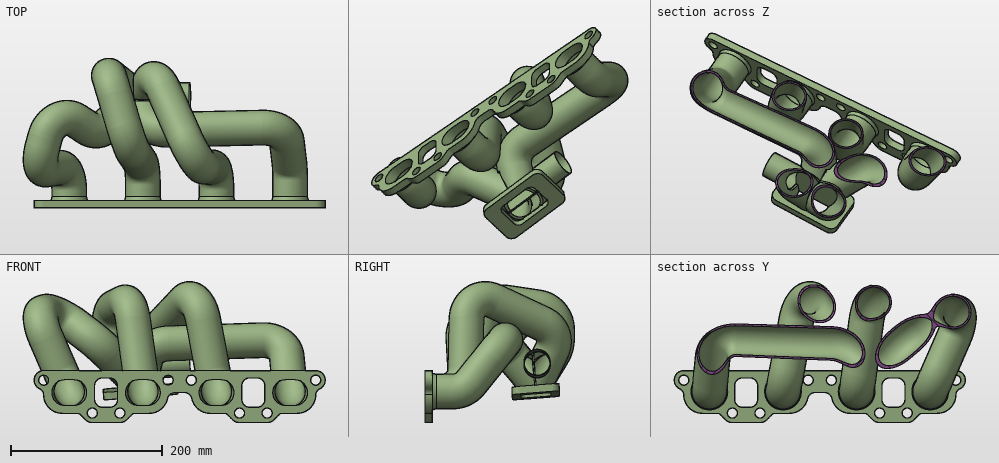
import cadquery as cq
import math


plate_thickness = 10.0
plate_half_length = 192.1
plate_top = 29.1
port_pitch = 97.1
port_width = 46.0
port_height = 34.0
slot_width = 30.0
slot_height = 38.4
slot_corner = 10.0
bolt_diameter = 13.0
lug_radius = 12.7
end_bolt_z = plate_top - lug_radius
end_bolt_x = plate_half_length - lug_radius
inner_bolt_x = 15.3
lower_bolt_spread = 18.2
lower_bolt_z = -27.0
port_pair_bottom = -27.6
port_pair_corner = 25.0
port_pair_outer_x = 179.7
lower_lug_half_length = 23.5
lower_lug_bottom = lower_bolt_z - lug_radius
arch_foot_x = 20.8
arch_top_x = 13.9
arch_corner = 10.0
lug_neck_corner = 8.0
lug_toe_corner = 5.0
lug_shoulder_slope = math.tan(math.radians(30))

tube_diameter = 46.0
tube_bore = 40.0
bend_radius = 30.5
port_axis_z = 1.4
weld_cone_length = 4.0
weld_cone_step = 1.25
weld_land_length = 1.0
runner_start_y = plate_thickness + weld_cone_length + weld_land_length

joined_gap = 1e-6

port_centres = [port_pitch * (index - 1.5) for index in range(4)]
slot_centres = [-port_pitch, port_pitch]

runner_corners = [
    (54.7, [(-189.6, 49.0, 102.4), (-166.3, 134.7, 110.3), (-108.6, 97.2, 66.3)], (-52.4, 149.4, 11.8)),
    (55.4, [(-65.3, 80.3, 122.7), (-93.3, 174.4, 108.7), (-93.6, 174.5, 60.8)], (-55.2, 144.1, 10.4)),
    (53.0, [(23.2, 55.5, 137.5), (-31.6, 179.2, 79.5)], (-51.5, 145.7, 11.1)),
    (51.3, [(139.0, 106.7, 70.1), (-40.0, 102.7, 64.0)], (-54.0, 148.0, 9.6)),
]

turbo_centre = cq.Vector(-52.2, 145.8, 6.2)
turbo_lean = 4.45
turbo_length = 98.0
turbo_width = 62.5
turbo_thickness = 10.0
turbo_corner = 10.0
turbo_opening_length = 56.0
turbo_opening_width = 40.0
turbo_opening_corner = 8.0
divider_thickness = 2.0
collector_height = 60.0
foot_split_x = -5.0
far = 300.0

runner_quadrants = [(-1, -1), (-1, 1), (1, 1), (1, -1)]

wastegate_diameter = 35.0
wastegate_bore = 34.0
wastegate_end = cq.Vector(13.3, 148.0, 39.8)
wastegate_length = 60.0


def turbo_plane():
    """Plane of the turbo flange's upper face, with its local Z up into the collector."""
    slope = math.tan(math.radians(turbo_lean))
    normal = cq.Vector(-slope, -slope, 1)
    along = cq.Vector(1, 0, slope)
    return cq.Plane(origin=turbo_centre, xDir=along, normal=normal)


def rounded_corner(before, corner, after, radius):
    """Start, middle and end of the arc that rounds a corner between two straight stretches."""
    back = (before - corner).normalized()
    ahead = (after - corner).normalized()
    half_angle = back.getAngle(ahead) / 2
    setback = radius / math.tan(half_angle)
    depth = radius / math.sin(half_angle) - radius
    middle = corner + (back + ahead).normalized() * depth
    return corner + back * setback, middle, corner + ahead * setback


def rounded_path(corners, radii):
    """Edges of an open path through the corners, with every inner corner rounded by an arc."""
    edges = []
    position = corners[0]
    for before, corner, after, radius in zip(corners, corners[1:], corners[2:], radii):
        start, middle, end = rounded_corner(before, corner, after, radius)
        if (start - position).Length > joined_gap:
            edges.append(cq.Edge.makeLine(position, start))
        edges.append(cq.Edge.makeThreePointArc(start, middle, end))
        position = end
    return edges


def head_flange_outline():
    """Closed outline of the plate, mirrored about X = 0, starting in the middle of its top edge."""
    lug_run = port_pair_bottom - lower_lug_bottom
    shoulder_z = plate_top - lug_radius * (1 + lug_shoulder_slope)
    neck_z = shoulder_z - (plate_half_length - port_pair_outer_x) * lug_shoulder_slope
    half = [
        (plate_half_length, plate_top, lug_radius),
        (plate_half_length, shoulder_z, lug_radius),
        (port_pair_outer_x, neck_z, lug_neck_corner),
        (port_pair_outer_x, port_pair_bottom, port_pair_corner),
        (port_pitch + lower_lug_half_length + lug_run, port_pair_bottom, lug_toe_corner),
        (port_pitch + lower_lug_half_length, lower_lug_bottom, lug_radius),
        (port_pitch - lower_lug_half_length, lower_lug_bottom, lug_radius),
        (port_pitch - lower_lug_half_length - lug_run, port_pair_bottom, lug_toe_corner),
        (arch_foot_x, port_pair_bottom, port_pair_corner),
        (arch_top_x, 0.0, arch_corner),
    ]
    mirrored = [(-x, z, radius) for x, z, radius in reversed(half)]
    corners = [cq.Vector(x, 0, z) for x, z, _ in half + mirrored]
    radii = [radius for _, _, radius in half + mirrored]
    top_middle = cq.Vector(0, 0, plate_top)
    edges = rounded_path([top_middle, *corners, top_middle], radii)
    edges.append(cq.Edge.makeLine(edges[-1].endPoint(), top_middle))
    return cq.Wire.assembleEdges(edges)


def xz_plane(y):
    """Plane at the given Y whose local axes are X and Z and whose normal is -Y."""
    return cq.Workplane("XZ", origin=(0, y, 0))


def port_passage(x):
    """Passage that narrows from the obround port to the round bore of the tube."""
    return (
        xz_plane(0).center(x, 0).slot2D(port_width, port_height)
        .workplane(offset=-runner_start_y).center(0, port_axis_z).circle(tube_bore / 2)
        .loft(ruled=True)
    )


def weld_collar(x):
    """Cone that thins from the plate to the tube, with a short straight land at its end."""
    cone_end = plate_thickness + weld_cone_length
    cone = cq.Solid.makeCone(
        tube_diameter / 2 + weld_cone_step, tube_diameter / 2, weld_cone_length,
        cq.Vector(x, plate_thickness, port_axis_z), cq.Vector(0, 1, 0),
    )
    land = cq.Solid.makeCylinder(
        tube_diameter / 2, weld_land_length, cq.Vector(x, cone_end, port_axis_z), cq.Vector(0, 1, 0)
    )
    return cone.fuse(land)


def make_head_flange():
    """Plate with its four weld collars, ports, slots and bolt holes."""
    flange = cq.Workplane(
        cq.Solid.extrudeLinear(head_flange_outline(), [], cq.Vector(0, plate_thickness, 0))
    )
    for x in port_centres:
        flange = flange.union(cq.Workplane(weld_collar(x)))
    for x in port_centres:
        flange = flange.cut(port_passage(x))
    upper_bolts = [(side * x, end_bolt_z) for side in (-1, 1) for x in (inner_bolt_x, end_bolt_x)]
    lower_bolts = [
        (x + side * lower_bolt_spread, lower_bolt_z) for x in slot_centres for side in (-1, 1)
    ]
    bolt_holes = (
        xz_plane(0).pushPoints(upper_bolts + lower_bolts).circle(bolt_diameter / 2).extrude(-plate_thickness)
    )
    slots = (
        xz_plane(0).pushPoints([(x, 0) for x in slot_centres]).rect(slot_width, slot_height)
        .extrude(-plate_thickness).edges("|Y").fillet(slot_corner)
    )
    return flange.cut(bolt_holes).cut(slots)


def swept_rod(wire, diameter):
    """Solid round rod along a centreline."""
    start = wire.startPoint()
    plane = cq.Plane(origin=start, normal=wire.tangentAt(0))
    return cq.Workplane(plane).circle(diameter / 2).sweep(cq.Workplane(wire), transition="right")


def runner_corner_points(index):
    """Corners of a runner's centreline, from its port to the collector."""
    x = port_centres[index]
    first_corner_y, middle_corners, end = runner_corners[index]
    start = cq.Vector(x, runner_start_y, port_axis_z)
    first_corner = cq.Vector(x, first_corner_y, port_axis_z)
    return [start, first_corner, *[cq.Vector(*corner) for corner in middle_corners], cq.Vector(*end)]


def runner_bends(index, diameter):
    """Solid rod along the runner from its port to the end of its last bend."""
    corners = runner_corner_points(index)
    edges = rounded_path(corners, [bend_radius] * (len(corners) - 2))
    return swept_rod(cq.Wire.assembleEdges(edges), diameter)


def runner_foot(index, diameter):
    """Solid rod along the runner's last straight stretch, carried on past the turbo flange."""
    corners = runner_corner_points(index)
    _, _, start = rounded_corner(*corners[-3:], bend_radius)
    direction = (corners[-1] - start).normalized()
    length = (corners[-1] - start).Length + tube_diameter
    return cq.Workplane(cq.Solid.makeCylinder(diameter / 2, length, start, direction))


def quadrant(x_side, y_side):
    """Quarter of the collector above the turbo flange, clear of the divider plate."""
    return (
        cq.Workplane(turbo_plane())
        .center(foot_split_x + x_side * far / 2, y_side * (far + divider_thickness) / 2)
        .rect(far, far).extrude(far)
    )


def wastegate_rod(diameter):
    """Solid rod along the wastegate pipe, parallel to the turbo flange."""
    direction = turbo_plane().xDir
    start = wastegate_end - direction * wastegate_length
    return cq.Workplane(cq.Solid.makeCylinder(diameter / 2, wastegate_length, start, direction))


def make_runner(index):
    """Bent tube, trimmed at its foot to its quarter of the collector."""
    bends = runner_bends(index, tube_diameter).cut(runner_bends(index, tube_bore))
    foot = runner_foot(index, tube_diameter).intersect(quadrant(*runner_quadrants[index]))
    runner = bends.union(foot.cut(runner_foot(index, tube_bore)))
    return runner.cut(wastegate_rod(wastegate_bore))


def make_runners():
    """The four runners, each notched where it would run into one made before it."""
    made = []
    for index in range(len(port_centres)):
        runner = make_runner(index)
        for earlier in made:
            runner = runner.cut(earlier)
        largest = max(runner.solids().vals(), key=lambda solid: solid.Volume())
        made.append(cq.Workplane(largest))
    return made


def make_turbo_flange():
    """Leaning plate with rounded corners and one opening under the collector."""
    flange = (
        cq.Workplane(turbo_plane()).sketch().rect(turbo_length, turbo_width)
        .vertices().fillet(turbo_corner).finalize().extrude(-turbo_thickness)
    )
    opening = (
        cq.Workplane(turbo_plane()).sketch().rect(turbo_opening_length, turbo_opening_width)
        .vertices().fillet(turbo_opening_corner).finalize().extrude(-turbo_thickness)
    )
    return flange.cut(opening)


def collector_envelope():
    """The four solid feet merged into one shape."""
    envelope = runner_foot(0, tube_diameter)
    for index in range(1, len(port_centres)):
        envelope = envelope.union(runner_foot(index, tube_diameter))
    return envelope


def make_divider(envelope):
    """Plate between the -Y pair and the +Y pair of feet."""
    plate = cq.Workplane(turbo_plane()).rect(far, divider_thickness).extrude(collector_height)
    return plate.intersect(envelope)


def make_wastegate_pipe(envelope):
    """Thin pipe that leaves the collector towards +X, its inner end fitted to the feet."""
    return wastegate_rod(wastegate_diameter).cut(wastegate_rod(wastegate_bore)).cut(envelope)


head_flange = make_head_flange()
runners = make_runners()
turbo_flange = make_turbo_flange()
feet_envelope = collector_envelope()
divider = make_divider(feet_envelope)
wastegate_pipe = make_wastegate_pipe(feet_envelope)

result = cq.Compound.makeCompound([
    head_flange.solids().val(),
    *[runner.solids().val() for runner in runners],
    turbo_flange.solids().val(),
    divider.solids().val(),
    wastegate_pipe.solids().val(),
])